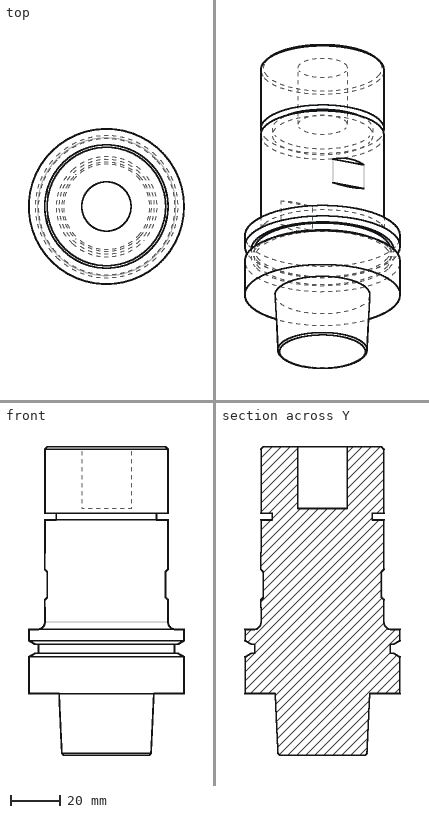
import cadquery as cq
import math

TOTAL_HEIGHT = 125.0
FLANGE_RADIUS = 31.5
BODY_RADIUS = 25.0

SHANK_HEIGHT = 25.0
SHANK_TOP_RADIUS = 19.2
SHANK_BOTTOM_RADIUS = 18.1
SHANK_CHAMFER = 0.8

FLANGE_HEIGHT = 26.0
GROOVE_CENTER = 43.1
GROOVE_FLOOR_WIDTH = 3.5
GROOVE_FLOOR_RADIUS = 27.6
GROOVE_LIP_RADIUS = 28.9
GROOVE_FLANK_ANGLE = 30.0

BODY_FILLET = 3.0
NECK_RADIUS = 20.4
NECK_BOTTOM = 95.4
NECK_HEIGHT = 2.6
NUT_CHAMFER = 1.0
BORE_RADIUS = 10.0
BORE_DEPTH = 25.0

FLAT_DEPTH = 1.0
FLAT_HEIGHT = 10.4
FLAT_CENTER = 69.1


def turned_body():
    """Solid of revolution for everything turned about Z."""
    flange_top = SHANK_HEIGHT + FLANGE_HEIGHT
    groove_bottom = GROOVE_CENTER - GROOVE_FLOOR_WIDTH / 2
    groove_top = GROOVE_CENTER + GROOVE_FLOOR_WIDTH / 2
    flank_height = (FLANGE_RADIUS - GROOVE_LIP_RADIUS) * math.tan(math.radians(GROOVE_FLANK_ANGLE))
    neck_top = NECK_BOTTOM + NECK_HEIGHT
    fillet_mid_offset = BODY_FILLET * (1 - math.sqrt(0.5))

    profile = (
        cq.Workplane("XZ")
        .lineTo(SHANK_BOTTOM_RADIUS - SHANK_CHAMFER, 0)
        .lineTo(SHANK_BOTTOM_RADIUS, SHANK_CHAMFER)
        .lineTo(SHANK_TOP_RADIUS, SHANK_HEIGHT)
        .lineTo(FLANGE_RADIUS, SHANK_HEIGHT)
        .lineTo(FLANGE_RADIUS, groove_bottom - flank_height)
        .lineTo(GROOVE_LIP_RADIUS, groove_bottom)
        .lineTo(GROOVE_FLOOR_RADIUS, groove_bottom)
        .lineTo(GROOVE_FLOOR_RADIUS, groove_top)
        .lineTo(GROOVE_LIP_RADIUS, groove_top)
        .lineTo(FLANGE_RADIUS, groove_top + flank_height)
        .lineTo(FLANGE_RADIUS, flange_top)
        .lineTo(BODY_RADIUS + BODY_FILLET, flange_top)
        .threePointArc(
            (BODY_RADIUS + fillet_mid_offset, flange_top + fillet_mid_offset),
            (BODY_RADIUS, flange_top + BODY_FILLET),
        )
        .lineTo(BODY_RADIUS, NECK_BOTTOM)
        .lineTo(NECK_RADIUS, NECK_BOTTOM)
        .lineTo(NECK_RADIUS, neck_top)
        .lineTo(BODY_RADIUS, neck_top)
        .lineTo(BODY_RADIUS, TOTAL_HEIGHT - NUT_CHAMFER)
        .lineTo(BODY_RADIUS - NUT_CHAMFER, TOTAL_HEIGHT)
        .lineTo(0, TOTAL_HEIGHT)
        .close()
    )
    return profile.revolve(360, (0, 0), (0, 1))


def bore():
    """Blind tool bore entering from the top face."""
    return cq.Workplane("XY", origin=(0, 0, TOTAL_HEIGHT)).circle(BORE_RADIUS).extrude(-BORE_DEPTH)


def wrench_flat(side):
    """Cutter for one flat; side is -1 or +1 along X."""
    half_inner = FLAT_HEIGHT / 2
    half_outer = half_inner + FLAT_DEPTH
    inner_x = side * (BODY_RADIUS - FLAT_DEPTH)
    outer_x = side * BODY_RADIUS
    return (
        cq.Workplane("XZ")
        .moveTo(inner_x, FLAT_CENTER - half_inner)
        .lineTo(outer_x, FLAT_CENTER - half_outer)
        .lineTo(outer_x, FLAT_CENTER + half_outer)
        .lineTo(inner_x, FLAT_CENTER + half_inner)
        .close()
        .extrude(BODY_RADIUS, both=True)
    )


result = turned_body().cut(bore())
for side in (-1, 1):
    result = result.cut(wrench_flat(side))